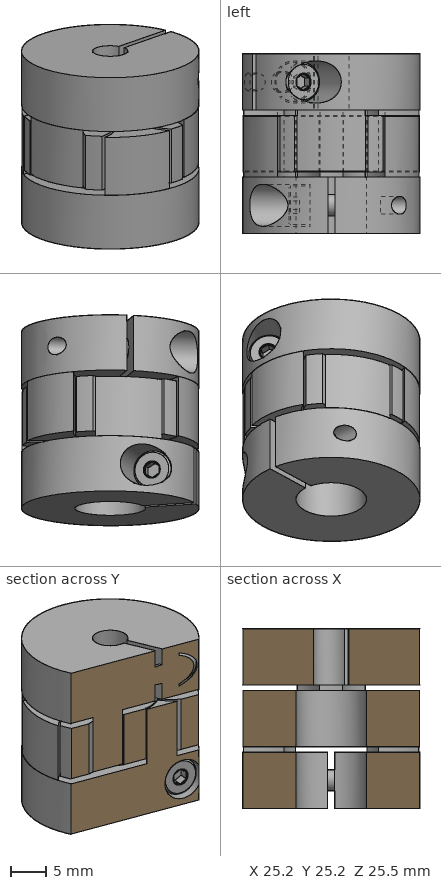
import cadquery as cq
import math

total_height = 25.5
hub_radius = 12.6
hub_height = 8.0
gap = 0.75
spider_height = total_height - 2 * (hub_height + gap)

jaw_radius = 12.55
jaw_length = 8.6
jaw_outer_half_width = 4.85
jaw_inner_half_width = 1.63
core_radius = 6.99
leg_outer_half_width = 1.22
leg_inner_half_width = 1.85
flank_bow = 0.55
leg_count = 6
jaw_count = 3

top_bore_radius = 2.5
bottom_bore_radius = 5.0
spider_bore_radius = bottom_bore_radius
slot_width = 1.0

screw_offset = 8.0
counterbore_diameter = 5.97
counterbore_floor = 3.0
head_diameter = 5.5
head_height = 3.0
head_chamfer = 0.25
shank_diameter = 3.0
shank_end = 7.0
tap_diameter = 2.5
socket_across_flats = 2.0
socket_depth = 1.5
socket_lead_in_diameter = 2.5
socket_lead_in_depth = 0.1

top_slot_angle = 120
bottom_slot_angle = 180


def curved_arm(inner_half_width, outer_half_width, bow, length):
    """Arm along +X from core to jaw radius. Flanks bulge by the bow, or are hollow if negative."""
    inner_x = math.sqrt(core_radius**2 - inner_half_width**2)
    outer_x = math.sqrt(jaw_radius**2 - outer_half_width**2)
    return (
        cq.Workplane("XY")
        .moveTo(inner_x, -inner_half_width)
        .sagittaArc((outer_x, -outer_half_width), -bow)
        .threePointArc((jaw_radius, 0), (outer_x, outer_half_width))
        .sagittaArc((inner_x, inner_half_width), -bow)
        .threePointArc((core_radius, 0), (inner_x, -inner_half_width))
        .close()
        .extrude(length)
    )


def ring_of(arm, count):
    """Copies of an arm at equal angles about Z, the first one along +X."""
    copies = cq.Workplane("XY")
    for index in range(count):
        copies = copies.add(arm.rotate((0, 0, 0), (0, 0, 1), index * 360 / count))
    return copies.combine()


def rod_across(diameter, start, end):
    """Rod on the screw axis, from start to end measured along +Y from the slot mid-plane."""
    return (
        cq.Workplane("XZ", origin=(screw_offset, start, hub_height / 2))
        .circle(diameter / 2)
        .extrude(start - end)
    )


def make_screw():
    """Socket-head screw lying along Y in its hub, head toward +Y."""
    head_top = counterbore_floor + head_height
    head = rod_across(head_diameter, counterbore_floor, head_top).faces(">Y").chamfer(head_chamfer)
    shank = rod_across(shank_diameter, -shank_end, counterbore_floor)
    socket = (
        cq.Workplane("XZ", origin=(screw_offset, head_top, hub_height / 2))
        .polygon(6, socket_across_flats, circumscribed=True)
        .extrude(socket_depth)
    )
    lead_in = (
        cq.Workplane("XZ", origin=(screw_offset, head_top, hub_height / 2))
        .circle(socket_lead_in_diameter / 2)
        .extrude(socket_lead_in_depth, taper=45)
    )
    return head.union(shank).cut(socket).cut(lead_in)


def make_hub(bore_radius):
    """Hub standing on Z = 0 with its slot along +X, its counterbore and its screw."""
    hub = cq.Workplane("XY").circle(hub_radius).circle(bore_radius).extrude(hub_height)
    slot = cq.Workplane("XY").box(2 * hub_radius, slot_width, hub_height, centered=(False, True, False))
    hub = hub.cut(slot)
    hub = hub.cut(rod_across(counterbore_diameter, counterbore_floor, hub_radius))
    hub = hub.cut(rod_across(tap_diameter, -hub_radius, -shank_end))
    return hub.union(make_screw())


def make_jaws():
    """Three jaws hanging below Z = 0, set so that a slot along +X lies midway between two."""
    jaw = curved_arm(jaw_inner_half_width, jaw_outer_half_width, -flank_bow, jaw_length)
    jaws = ring_of(jaw, jaw_count).rotate((0, 0, 0), (0, 0, 1), 180 / jaw_count)
    return jaws.translate((0, 0, -jaw_length))


def make_half(bore_radius):
    """Hub with its jaws, hub on top."""
    return make_hub(bore_radius).union(make_jaws())


def make_spider():
    """Ring with six bulging legs that fill the spaces between the jaws."""
    core = cq.Workplane("XY").circle(core_radius).circle(spider_bore_radius).extrude(spider_height)
    leg = curved_arm(leg_inner_half_width, leg_outer_half_width, flank_bow, spider_height)
    legs = ring_of(leg, leg_count).rotate((0, 0, 0), (0, 0, 1), 180 / leg_count)
    return core.union(legs)


top_half = (
    make_half(top_bore_radius)
    .rotate((0, 0, 0), (0, 0, 1), top_slot_angle)
    .translate((0, 0, total_height - hub_height))
)
bottom_half = (
    make_half(bottom_bore_radius)
    .rotate((0, 0, 0), (1, 0, 0), 180)
    .rotate((0, 0, 0), (0, 0, 1), bottom_slot_angle)
    .translate((0, 0, hub_height))
)
spider = make_spider().translate((0, 0, hub_height + gap))

result = bottom_half.union(spider).union(top_half)